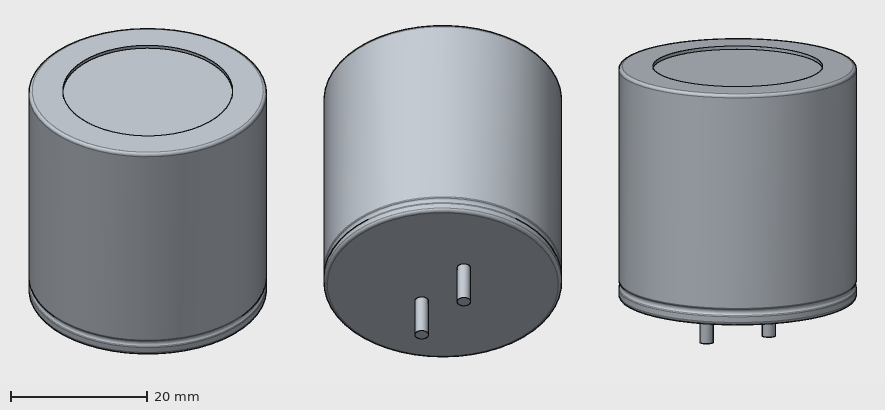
import cadquery as cq
import math

total_height = 41.3
can_diameter = 35.0
can_radius = can_diameter / 2
can_height = 35.0
edge_radius = 0.5

groove_center_z = 2.0
groove_width = 1.3
groove_depth = 0.3
lip_radius = 0.25

recess_diameter = 25.0
recess_depth = 0.5

pin_diameter = 2.0
pin_spacing = 10.0
pin_length = total_height - can_height


def groove_section():
    """Half section of the groove: a concave floor arc tangent to two rounded lips."""
    half_width = groove_width / 2
    lip_angle = 2 * math.atan(groove_depth / half_width)
    floor_radius = half_width / math.sin(lip_angle) - lip_radius
    floor_r = can_radius - groove_depth
    lip_mid_r = can_radius - lip_radius * (1 - math.cos(lip_angle / 2))
    lip_mid_z = half_width - lip_radius * math.sin(lip_angle / 2)
    lip_end_r = can_radius - lip_radius * (1 - math.cos(lip_angle))
    lip_end_z = floor_radius * math.sin(lip_angle)
    lower_z = groove_center_z - half_width
    upper_z = groove_center_z + half_width
    return (
        cq.Workplane("XZ")
        .moveTo(can_radius, lower_z)
        .threePointArc((lip_mid_r, groove_center_z - lip_mid_z), (lip_end_r, groove_center_z - lip_end_z))
        .threePointArc((floor_r, groove_center_z), (lip_end_r, groove_center_z + lip_end_z))
        .threePointArc((lip_mid_r, groove_center_z + lip_mid_z), (can_radius, upper_z))
        .lineTo(can_radius + groove_depth, upper_z)
        .lineTo(can_radius + groove_depth, lower_z)
        .close()
    )


def make_can():
    """Cylinder with rounded rims, a crimp groove and a recessed top."""
    can = cq.Workplane("XY").circle(can_radius).extrude(can_height)
    can = can.faces("<Z or >Z").edges().fillet(edge_radius)
    can = can.cut(groove_section().revolve(360, (0, 0, 0), (0, 1, 0)))
    return can.faces(">Z").workplane().circle(recess_diameter / 2).cutBlind(-recess_depth)


def make_pins():
    """Pair of pins spaced evenly about the can axis along X."""
    pin_places = [(-pin_spacing / 2, 0), (pin_spacing / 2, 0)]
    return cq.Workplane("XY").pushPoints(pin_places).circle(pin_diameter / 2).extrude(-pin_length)


result = make_can().union(make_pins())